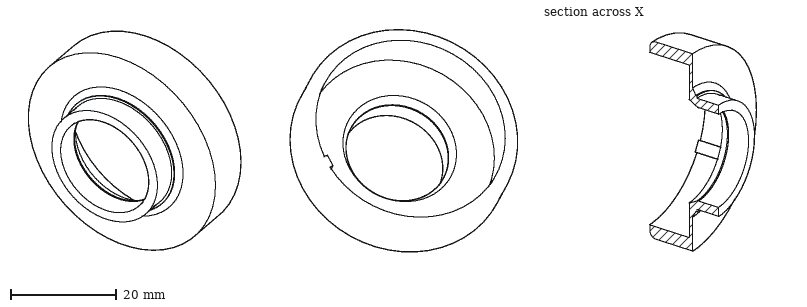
import cadquery as cq

body_radius = 21.25
body_depth = 10.0
rim_fillet = 1.5
total_depth = 16.0

collar_base_radius = 13.9
collar_radius = 12.5
collar_depth = 1.0
collar_land = 0.25
spigot_radius = 12.0

bore_radius = 10.0
bore_length = 4.65
cup_radius = 18.5
cup_depth = 9.15
flare_radius = 11.1
flare_start_radius = 10.05
flare_land = 0.3

rib_width = 2.4
rib_face_distance = 17.75
rib_angle = -28.0


def make_outer_body():
    """Outer shape: filleted body, conical collar and spigot."""
    collar_y = -body_depth - collar_depth
    return (
        cq.Workplane("XY")
        .moveTo(0, 0)
        .lineTo(body_radius - rim_fillet, 0)
        .radiusArc((body_radius, -rim_fillet), rim_fillet)
        .lineTo(body_radius, -body_depth)
        .lineTo(collar_base_radius, -body_depth)
        .lineTo(collar_radius, collar_y + collar_land)
        .lineTo(collar_radius, collar_y)
        .lineTo(spigot_radius, collar_y)
        .lineTo(spigot_radius, -total_depth)
        .lineTo(0, -total_depth)
        .close()
        .revolve(360, (0, 0, 0), (0, 1, 0))
    )


def cylinder_along_y(radius, back_y, length):
    """Cylinder running from back_y towards -Y."""
    return cq.Workplane("XZ", origin=(0, back_y, 0)).circle(radius).extrude(length)


def make_rib():
    """Flat-faced rib joining the cup wall over the full cup depth."""
    outer_distance = cup_radius + rim_fillet / 2
    block = (
        cq.Workplane("XZ")
        .center((rib_face_distance + outer_distance) / 2, 0)
        .rect(outer_distance - rib_face_distance, rib_width)
        .extrude(cup_depth)
    )
    return block.rotate((0, 0, 0), (0, -1, 0), rib_angle)


def make_flare():
    """Void between bore and cup: a short cylindrical land, then a widening cone."""
    bore_back_y = bore_length - total_depth
    return (
        cq.Workplane("XY")
        .moveTo(0, bore_back_y)
        .lineTo(flare_start_radius, bore_back_y)
        .lineTo(flare_start_radius, bore_back_y + flare_land)
        .lineTo(flare_radius, -cup_depth)
        .lineTo(0, -cup_depth)
        .close()
        .revolve(360, (0, 0, 0), (0, 1, 0))
    )


result = make_outer_body()
result = result.cut(cylinder_along_y(cup_radius, 0, cup_depth))
result = result.cut(make_flare())
result = result.cut(cylinder_along_y(bore_radius, 0, total_depth))
result = result.union(make_rib())